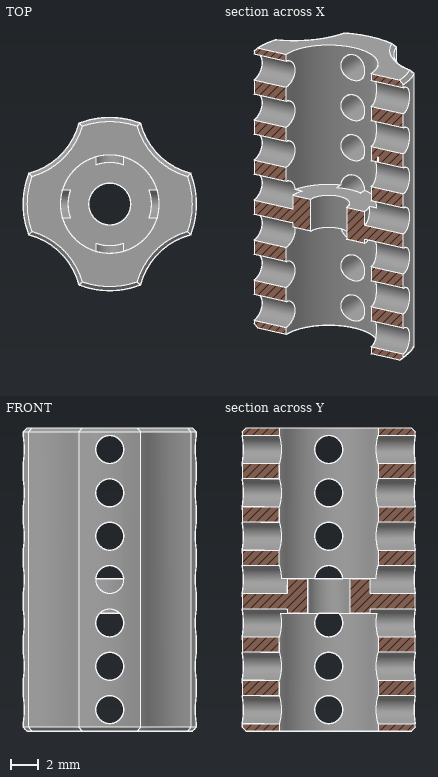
import cadquery as cq
import math

OUTER_DIAMETER = 12.5
HOLE_PITCH = 3.125
HOLE_ROWS = 7
LENGTH = HOLE_ROWS * HOLE_PITCH
EDGE_CHAMFER = 0.3

FLUTE_COUNT = 4
FLUTE_RADIUS = 5.0
FLUTE_FLOOR_RADIUS = 5.0

BORE_DIAMETER = 7.1
WEB_BOTTOM = 8.5
WEB_TOP = 11.0
CENTRE_HOLE_DIAMETER = 3.0

SIDE_HOLE_DIAMETER = 2.0
SIDE_HOLE_COLUMNS = 4
CORE_DIAMETER = 6.0


def cylinder(diameter, bottom, top):
    """Cylinder on the Z axis between two heights."""
    return cq.Workplane("XY").workplane(offset=bottom).circle(diameter / 2).extrude(top - bottom)


def fluted_body():
    """Round bar with four flutes and chamfered end edges."""
    flute_centre_distance = FLUTE_FLOOR_RADIUS + FLUTE_RADIUS
    first_flute_angle = 180 / FLUTE_COUNT
    flutes = (
        cq.Workplane("XY")
        .polarArray(flute_centre_distance, first_flute_angle, 360, FLUTE_COUNT)
        .circle(FLUTE_RADIUS)
        .extrude(LENGTH)
    )
    body = cylinder(OUTER_DIAMETER, 0, LENGTH).cut(flutes)
    return body.faces("<Z or >Z").edges().chamfer(EDGE_CHAMFER)


def side_holes():
    """Columns of radial holes, one through each lobe, kept clear of the web's core."""
    drills = cq.Workplane("XY")
    for row in range(HOLE_ROWS):
        height = (row + 0.5) * HOLE_PITCH
        for column in range(SIDE_HOLE_COLUMNS):
            angle = math.radians(column * 360 / SIDE_HOLE_COLUMNS)
            direction = cq.Vector(math.cos(angle), math.sin(angle), 0)
            drill = cq.Solid.makeCylinder(
                SIDE_HOLE_DIAMETER / 2,
                OUTER_DIAMETER / 2,
                cq.Vector(0, 0, height),
                direction,
            )
            drills = drills.add(drill)
    core = cylinder(CORE_DIAMETER, 0, LENGTH)
    return drills.combine().cut(core)


upper_bore = cylinder(BORE_DIAMETER, WEB_TOP, LENGTH)
lower_bore = cylinder(BORE_DIAMETER, 0, WEB_BOTTOM)
centre_hole = cylinder(CENTRE_HOLE_DIAMETER, WEB_BOTTOM, WEB_TOP)

result = (
    fluted_body()
    .cut(upper_bore)
    .cut(lower_bore)
    .cut(centre_hole)
    .cut(side_holes())
)